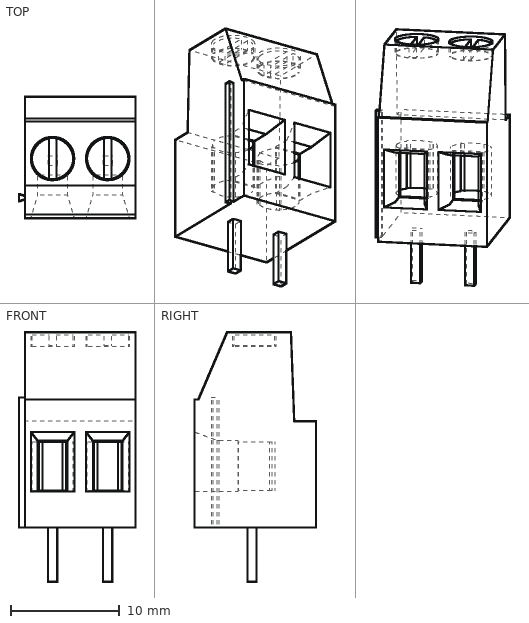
import cadquery as cq
import math


pitch = 5.08
way_positions = (-pitch / 2, pitch / 2)

housing_width = 10.2
housing_depth = 11.2
housing_height = 18.0
rear_step_height = 9.8
rear_step_front_y = 9.2
top_rear_y = 8.9
top_front_y = 3.0
front_height = 11.8
front_ledge_depth = 0.35

overall_width = 10.734
rail_projection = overall_width - housing_width
rail_height = 12.0
rail_y = 1.9
rail_root_width = 0.35
rail_tip_width = 0.7

entry_width = 4.0
entry_floor_z = 3.3
entry_height = 5.5
throat_width = 2.75
throat_height = 4.7
funnel_depth = 2.15
throat_end_y = 4.0
chamber_width = 2.5
chamber_inset = 0.1
chamber_height = throat_height - 2 * chamber_inset

screw_y = 5.5
screw_diameter = 3.8
screw_hole_diameter = 4.0
screw_recess = 0.25
screw_gap_depth = 1.3
slot_width = 0.7
slot_depth = 1.0

chamber_recess_width = 1.85
chamber_back_y = screw_y + math.sqrt((screw_diameter / 2) ** 2 - (chamber_recess_width / 2) ** 2)

pin_size = 0.87
pin_length = 5.0
pin_y = 5.3


def make_housing():
    """Side profile in the YZ plane, extruded across the width."""
    profile = [
        (0, 0),
        (housing_depth, 0),
        (housing_depth, rear_step_height),
        (rear_step_front_y, rear_step_height),
        (top_rear_y, housing_height),
        (top_front_y, housing_height),
        (front_ledge_depth, front_height),
        (0, front_height),
    ]
    return cq.Workplane("YZ").polyline(profile).close().extrude(housing_width / 2, both=True)


def make_rail():
    """Upright rail, narrow at the housing wall and wide at its free face."""
    root_x = -housing_width / 2
    tip_x = root_x - rail_projection
    section = [
        (root_x, rail_y - rail_root_width / 2),
        (root_x, rail_y + rail_root_width / 2),
        (tip_x, rail_y + rail_tip_width / 2),
        (tip_x, rail_y - rail_tip_width / 2),
    ]
    return cq.Workplane("XY").polyline(section).close().extrude(rail_height)


def box_from(x, y_start, y_end, z_floor, width, height):
    """Box centred on x, spanning y_start to y_end and standing on z_floor."""
    depth = y_end - y_start
    return (
        cq.Workplane("XY")
        .box(width, depth, height, centered=(True, False, False))
        .translate((x, y_start, z_floor))
    )


def make_wire_entry(x):
    """Void of one wire entry; the funnel floor stays level while its sides and roof close in."""
    funnel = (
        cq.Workplane("XZ")
        .center(x, entry_floor_z + entry_height / 2)
        .rect(entry_width, entry_height)
        .workplane(offset=-funnel_depth)
        .center(0, (throat_height - entry_height) / 2)
        .rect(throat_width, throat_height)
        .loft(ruled=True)
    )
    throat = box_from(x, funnel_depth, throat_end_y, entry_floor_z, throat_width, throat_height)
    chamber_floor_z = entry_floor_z + chamber_inset
    chamber = box_from(x, throat_end_y, chamber_back_y, chamber_floor_z, chamber_width, chamber_height)
    round_back = (
        cq.Workplane("XY", origin=(x, screw_y, chamber_floor_z))
        .circle(screw_diameter / 2)
        .extrude(chamber_height)
    )
    return funnel.union(throat).union(chamber).union(round_back)


def make_screw_cut(x):
    """Void around one screw head: the recess above it, the gap around it and the driver slot."""
    hole = (
        cq.Workplane("XY", origin=(x, screw_y, housing_height))
        .circle(screw_hole_diameter / 2)
        .extrude(-screw_gap_depth)
    )
    head_top_z = housing_height - screw_recess
    head = (
        cq.Workplane("XY", origin=(x, screw_y, head_top_z))
        .circle(screw_diameter / 2)
        .extrude(screw_recess - screw_gap_depth)
    )
    slot = box_from(
        x,
        screw_y - screw_diameter / 2,
        screw_y + screw_diameter / 2,
        head_top_z - slot_depth,
        slot_width,
        slot_depth,
    )
    return hole.cut(head.cut(slot))


def make_pin(x):
    """Square solder pin below the housing."""
    return (
        cq.Workplane("XY", origin=(x, pin_y, 0))
        .rect(pin_size, pin_size)
        .extrude(-pin_length)
    )


result = make_housing().union(make_rail())
for way_x in way_positions:
    result = result.cut(make_wire_entry(way_x))
    result = result.cut(make_screw_cut(way_x))
    result = result.union(make_pin(way_x))